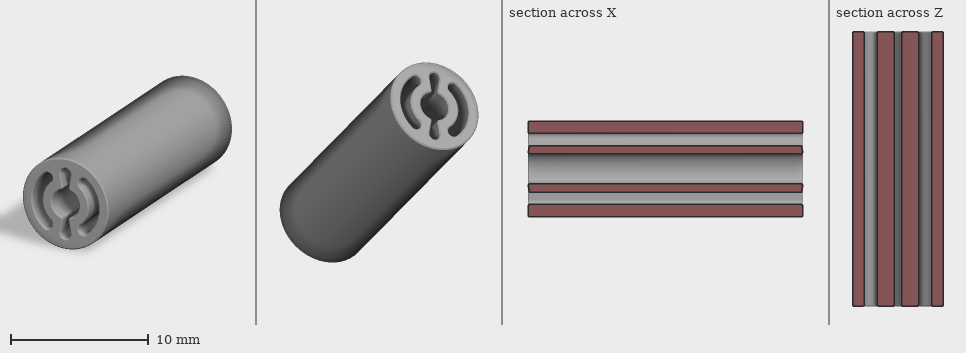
import cadquery as cq
import math

LENGTH = 20.0
OUTER_DIAMETER = 7.0
EDGE_CHAMFER = 0.1

BORE_DIAMETER = 2.2
RING_RADIUS = 2.3
END_RADIUS = 0.4
SLOT_HALF_ANGLE = 50.0

NECK_HALF_WIDTH = 0.2
NECK_CORNER_RADIUS = 0.2


def polar_point(radius, degrees):
    angle = math.radians(degrees)
    return (radius * math.cos(angle), radius * math.sin(angle))


def bar(profile):
    """Extrude an XZ profile over the whole length, centred on the origin."""
    return profile.extrude(LENGTH).translate((0, LENGTH / 2, 0))


def make_body():
    return bar(cq.Workplane("XZ").circle(OUTER_DIAMETER / 2))


def make_side_slot(direction):
    """Arc-shaped slot centred on the direction angle, in degrees."""
    start = direction - SLOT_HALF_ANGLE
    end = direction + SLOT_HALF_ANGLE
    inner = RING_RADIUS - END_RADIUS
    outer = RING_RADIUS + END_RADIUS
    start_x, start_z = polar_point(RING_RADIUS, start)
    end_x, end_z = polar_point(RING_RADIUS, end)
    start_bulge = polar_point(END_RADIUS, start - 90)
    end_bulge = polar_point(END_RADIUS, end + 90)
    profile = (
        cq.Workplane("XZ")
        .moveTo(*polar_point(outer, start))
        .threePointArc(polar_point(outer, direction), polar_point(outer, end))
        .threePointArc((end_x + end_bulge[0], end_z + end_bulge[1]), polar_point(inner, end))
        .threePointArc(polar_point(inner, direction), polar_point(inner, start))
        .threePointArc((start_x + start_bulge[0], start_z + start_bulge[1]), polar_point(outer, start))
        .close()
    )
    return bar(profile)


def make_keyhole():
    """Bore with a tapered, round-ended slot above and below it."""
    bore_radius = BORE_DIAMETER / 2
    neck_z = math.sqrt(bore_radius**2 - NECK_HALF_WIDTH**2)
    keyhole = bar(cq.Workplane("XZ").circle(bore_radius))

    neck_to_lobe = math.hypot(NECK_HALF_WIDTH, RING_RADIUS - neck_z)
    lean = math.asin(END_RADIUS / neck_to_lobe) - math.asin(NECK_HALF_WIDTH / neck_to_lobe)
    tangent_x = END_RADIUS * math.cos(lean)
    tangent_z = RING_RADIUS - END_RADIUS * math.sin(lean)
    for side in (1, -1):
        profile = (
            cq.Workplane("XZ")
            .moveTo(0, 0)
            .lineTo(NECK_HALF_WIDTH, side * neck_z)
            .lineTo(tangent_x, side * tangent_z)
            .threePointArc((0, side * (RING_RADIUS + END_RADIUS)), (-tangent_x, side * tangent_z))
            .lineTo(-NECK_HALF_WIDTH, side * neck_z)
            .close()
        )
        keyhole = keyhole.union(bar(profile))

    neck_corners = cq.selectors.BoxSelector(
        (-2 * NECK_HALF_WIDTH, -LENGTH, -bore_radius),
        (2 * NECK_HALF_WIDTH, LENGTH, bore_radius),
    )
    return keyhole.edges("|Y").edges(neck_corners).fillet(NECK_CORNER_RADIUS)


def make_part():
    part = make_body().cut(make_keyhole())
    for direction in (0, 180):
        part = part.cut(make_side_slot(direction))
    return part.faces("<Y or >Y").edges().chamfer(EDGE_CHAMFER)


result = make_part()